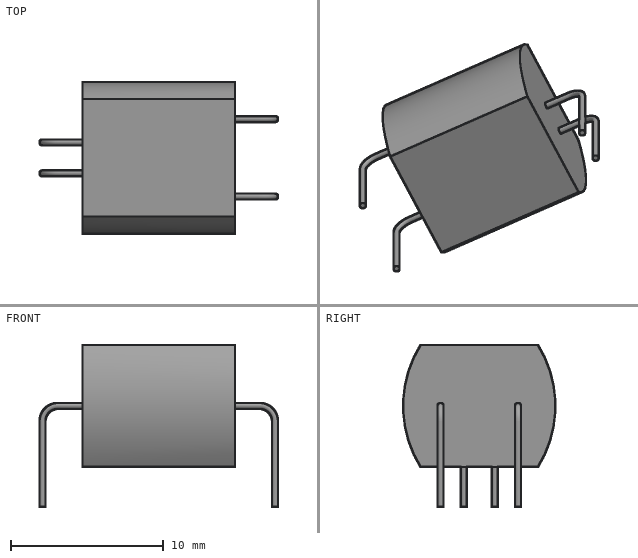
import cadquery as cq
import math

CASE_LENGTH = 10.0
CASE_WIDTH = 10.0
CASE_HEIGHT = 8.0
FLAT_WIDTH = 7.71

WALL_THICKNESS = 0.5

LEAD_DIAMETER = 0.41
LEAD_ROW_SPACING = 15.24
LEAD_BEND_RADIUS = 1.0
LEAD_DROP = 6.61
LEAD_EMBED = 0.5
LEFT_LEAD_PITCH = 2.03
RIGHT_LEAD_PITCH = 5.08

LEAD_Z = CASE_HEIGHT / 2


def end_outline(inset):
    """Case cross-section in the YZ plane, with every edge moved inward by inset."""
    bulge = (CASE_WIDTH - FLAT_WIDTH) / 2
    side_radius = ((CASE_HEIGHT / 2) ** 2 + bulge**2) / (2 * bulge)
    arc_center = CASE_WIDTH / 2 - side_radius
    half_height = CASE_HEIGHT / 2 - inset
    half_width = CASE_WIDTH / 2 - inset
    half_flat = arc_center + math.sqrt((side_radius - inset) ** 2 - half_height**2)
    return (
        cq.Workplane("YZ", origin=(0, 0, CASE_HEIGHT / 2))
        .moveTo(-half_flat, half_height)
        .lineTo(half_flat, half_height)
        .threePointArc((half_width, 0), (half_flat, -half_height))
        .lineTo(-half_flat, -half_height)
        .threePointArc((-half_width, 0), (-half_flat, half_height))
        .close()
    )


def make_case():
    """Sleeve joined to its filling; the ends stay split along the seam between the two."""
    blank = end_outline(0).extrude(CASE_LENGTH / 2, both=True)
    filling = end_outline(WALL_THICKNESS).extrude(CASE_LENGTH / 2, both=True)
    return blank.cut(filling).union(filling, clean=False)


def make_lead(side, y):
    """One lead on the side -1 or +1 in X: out of the case, round the bend and down."""
    root_x = side * (CASE_LENGTH / 2 - LEAD_EMBED)
    leg_x = side * LEAD_ROW_SPACING / 2
    bend_x = leg_x - side * LEAD_BEND_RADIUS
    bend_z = LEAD_Z - LEAD_BEND_RADIUS
    bend_reach = LEAD_BEND_RADIUS * math.sqrt(0.5)
    path = (
        cq.Workplane("XZ", origin=(0, y, 0))
        .moveTo(root_x, LEAD_Z)
        .lineTo(bend_x, LEAD_Z)
        .threePointArc((bend_x + side * bend_reach, bend_z + bend_reach), (leg_x, bend_z))
        .lineTo(leg_x, LEAD_Z - LEAD_DROP)
    )
    section = cq.Workplane("YZ", origin=(root_x, y, LEAD_Z)).circle(LEAD_DIAMETER / 2)
    return section.sweep(path)


result = make_case()
for side, pitch in ((-1, LEFT_LEAD_PITCH), (1, RIGHT_LEAD_PITCH)):
    for y in (-pitch / 2, pitch / 2):
        result = result.union(make_lead(side, y), clean=False)